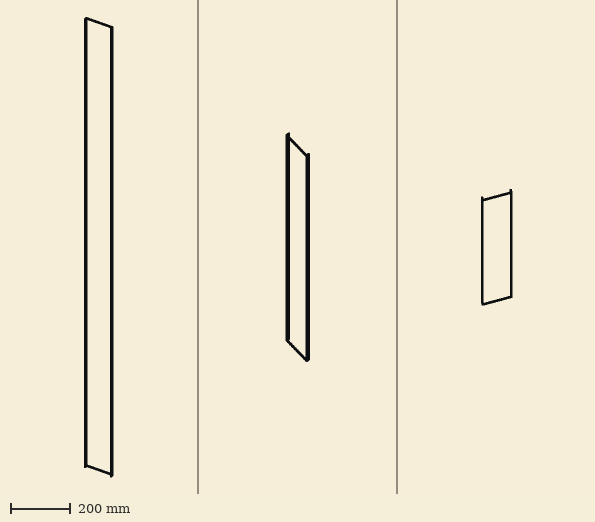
import cadquery as cq

length = 2000.0
width = 100.0
depth = 9.8
thickness = 1.0
inner_corner_radius = 1.0

envelope = cq.Workplane("XY").box(width, depth, length)

hollow = (
    cq.Workplane("XY")
    .box(width - 2 * thickness, depth - thickness, length)
    .translate((0, -thickness / 2, 0))
    .edges("|Z and >Y")
    .fillet(inner_corner_radius)
)

result = envelope.cut(hollow)